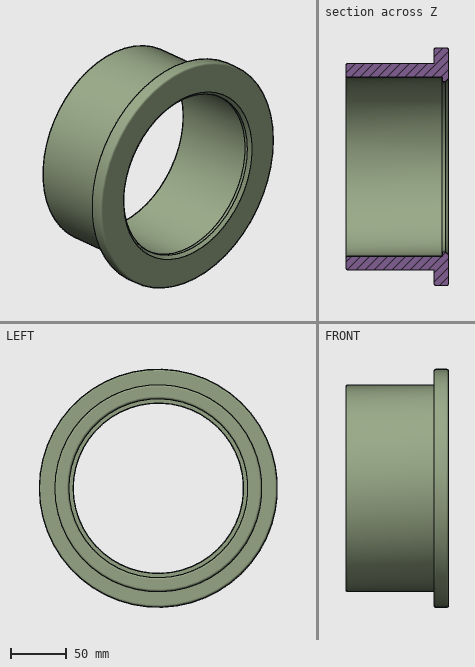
import cadquery as cq

total_length = 92.0
flange_diameter = 213.0
flange_thickness = 13.2
sleeve_diameter = 185.0

bore_diameter = 160.0
lip_diameter = 152.0
lip_thickness = 6.0

edge_radius = 2.0
mouth_chamfer = 3.0


def cylinder(diameter, start, length):
    """Cylinder on the X axis, running in +X from start."""
    return cq.Workplane("YZ", origin=(start, 0, 0)).circle(diameter / 2).extrude(length)


flange = cylinder(flange_diameter, total_length - flange_thickness, flange_thickness)
flange = flange.edges().fillet(edge_radius)

sleeve = cylinder(sleeve_diameter, 0, total_length - flange_thickness / 2)
body = sleeve.union(flange)
body = body.cut(cylinder(bore_diameter, 0, total_length - lip_thickness))
body = body.cut(cylinder(lip_diameter, 0, total_length))

body = body.faces("<X").edges().fillet(edge_radius)
lip_mouth = cq.selectors.RadiusNthSelector(0)
result = body.faces(">X").edges(lip_mouth).chamfer(mouth_chamfer)